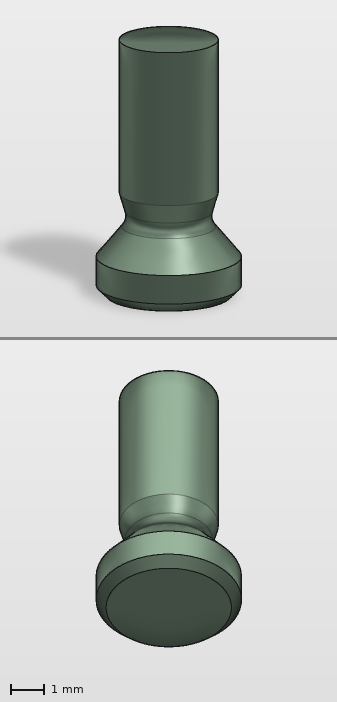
import cadquery as cq
import math

total_height = 8.0
shaft_radius = 3.0 / 2
shaft_bottom_z = 3.2
head_radius = 4.4 / 2
head_top_z = 1.2
chamfer_height = 0.3
chamfer_width = 0.3

neck_fillet_radius = 0.5
neck_center_z = 2.46
neck_radius = 1.3
neck_center_radius = neck_radius + neck_fillet_radius


def tangent_point(radius, z, turn):
    """Point of the neck arc touched by a line from (radius, z); turn picks the side."""
    dr = radius - neck_center_radius
    dz = z - neck_center_z
    distance = math.hypot(dr, dz)
    angle = math.atan2(dz, dr) + turn * math.acos(neck_fillet_radius / distance)
    return (
        neck_center_radius + neck_fillet_radius * math.cos(angle),
        neck_center_z + neck_fillet_radius * math.sin(angle),
    )


lower_tangent = tangent_point(head_radius, head_top_z, -1)
upper_tangent = tangent_point(shaft_radius, shaft_bottom_z, 1)

profile = (
    cq.Workplane("XZ")
    .moveTo(0, 0)
    .lineTo(head_radius - chamfer_width, 0)
    .lineTo(head_radius, chamfer_height)
    .lineTo(head_radius, head_top_z)
    .lineTo(*lower_tangent)
    .threePointArc((neck_radius, neck_center_z), upper_tangent)
    .lineTo(shaft_radius, shaft_bottom_z)
    .lineTo(shaft_radius, total_height)
    .lineTo(0, total_height)
    .close()
)

result = profile.revolve(360, (0, 0, 0), (0, 1, 0))